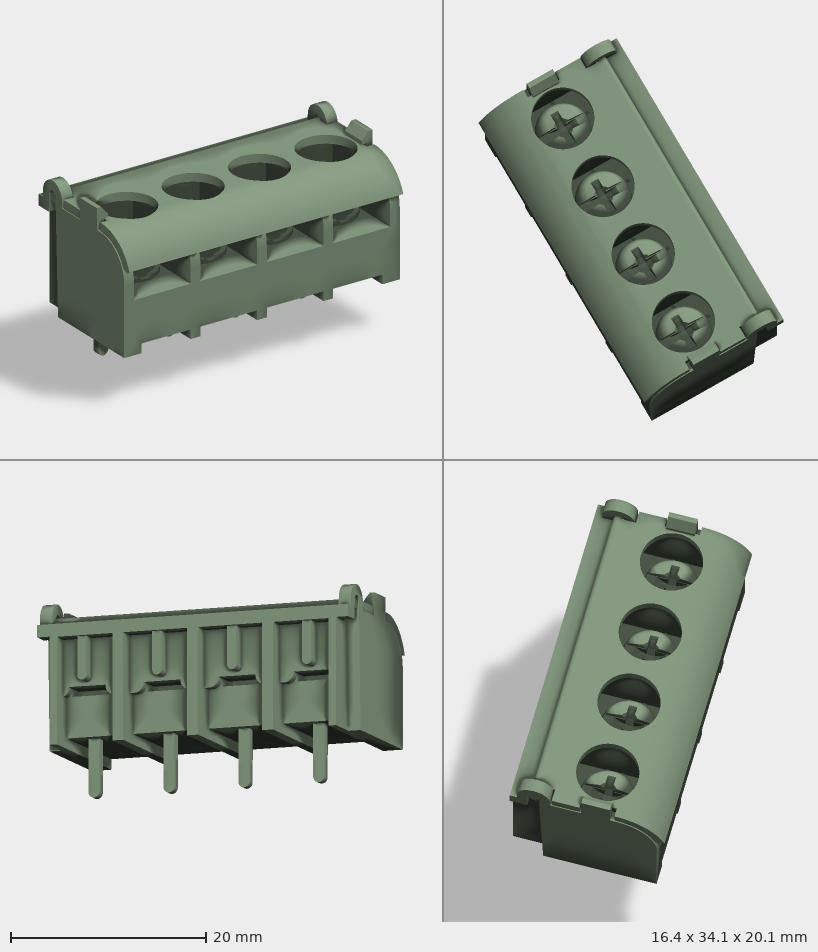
import cadquery as cq
import math


length = 34.15
bay_count = 4
pitch = 8.23
row_centers = [(i - (bay_count - 1) / 2) * pitch for i in range(bay_count)]

depth = 15.6
height = 12.57
divider_thickness = 1.2
end_wall = 1.15
end_face_setback = 1.33
front_end_wall = 0.82
front_limit = length / 2 - end_face_setback - front_end_wall
back_radius = 4.35
back_arc_x = depth - back_radius
corner_top_x = 3.1
corner_foot_x = 3.55
deck_thickness = 1.35
deck_bottom = height - deck_thickness
upper_wall_x = 1.95
lower_wall_x = 2.9
upper_wall_bottom = 5.2
bay_bottom = 1.1
chamber_x = 5.12
chamber_floor = 6.25

rib_front_x = 0.48
rib_width = 1.02
rib_bottom = 6.65
slot_width = 4.03
slot_height = 0.85
notch_radius = 1.02
bend_width = 2.6

pin_x = 3.93
pin_thickness = 0.92
pin_width = 1.23
pin_length = 5.05
pocket_back_x = pin_x + pin_thickness

hinge_x = 2.53
loop_z = 13.3
loop_radius = 1.75
loop_bore_radius = 0.6
rod_radius = 0.5
foot_width = 1.85
foot_height = 1.3
foot_bottom = height - foot_height
rod_end_gap = 0.17

cover_thickness = 1.0
cover_top = height + cover_thickness
cover_length = 33.95
lip_inner_radius = 4.5
lip_outer_radius = lip_inner_radius + cover_thickness
lip_center_z = height - lip_inner_radius
lip_bottom = 9.97
lip_mid_angle = math.radians(30)
hole_diameter = 6.5
hole_x = 9.12
loop_notch_x = 4.45
loop_clearance = 0.07

hook_x = 7.6
hook_width = 3.07
hook_depth = end_face_setback
hook_top = loop_z + loop_radius
hook_land = 0.55
hook_nose_bottom = 13.65
hook_nose_top = 14.07
hook_stem = 0.85
hook_notch_x = 7.38
hook_notch_width = 3.72
hook_notch_depth = 1.02

screw_x = 9.05
washer_diameter = 6.9
washer_thickness = 0.55
groove_top_width = 1.55
groove_floor_width = 0.82
groove_depth = 0.27
head_diameter = 5.8
head_rim = 0.4
head_shoulder_diameter = 4.37
head_shoulder = 1.7
head_height = 2.45
driver_slot_width = 1.02
driver_slot_floor = 1.3
recess_arm_width = 0.9
recess_top_half_length = 2.25
recess_slot_half_length = 1.67
recess_floor_half_length = 1.02
recess_arm_floor = 0.58
recess_center_floor = 0.2
recess_center_diameter = 0.82
recess_center_top_diameter = 2.2

overlap = 0.05


def box(x0, x1, y0, y1, z0, z1):
    return cq.Workplane("XY").box(x1 - x0, y1 - y0, z1 - z0, centered=False).translate((x0, y0, z0))


def extrude_y(outline, y0, y1):
    """Extrude an XZ outline from y0 to y1."""
    return outline.extrude(y0 - y1).translate((0, y0, 0))


def extrude_x(outline, x0, x1):
    """Extrude a YZ outline from x0 to x1."""
    return outline.extrude(x1 - x0).translate((x0, 0, 0))


def both_ends(solid):
    return solid.union(solid.mirror("XZ"))


def make_housing_block():
    diagonal = back_radius * math.sqrt(0.5)
    arc_z = height - back_radius
    profile = (
        cq.Workplane("XZ")
        .lineTo(depth, 0)
        .lineTo(depth, arc_z)
        .threePointArc((back_arc_x + diagonal, arc_z + diagonal), (back_arc_x, height))
        .lineTo(0, height)
        .close()
    )
    return extrude_y(profile, -length / 2, length / 2)


def make_corner_step():
    """Step removed from the -Y front corner, behind the leaning side wall edge."""
    profile = (
        cq.Workplane("XZ")
        .polyline([(0, 0), (corner_foot_x, 0), (corner_top_x, height), (0, height)])
        .close()
    )
    return extrude_y(profile, -length / 2, -length / 2 + end_face_setback)


def bay_limits(center, end_limit):
    """Y limits of a bay between its dividers, held inside +/- end_limit at the row ends."""
    half = (pitch - divider_thickness) / 2
    return max(center - half, -end_limit), min(center + half, end_limit)


def cut_bay(housing, center):
    """Open a bay at the front and foot, and its screw chamber at the back and top."""
    y0, y1 = bay_limits(center, front_limit)
    back_y0, back_y1 = bay_limits(center, length / 2 - end_wall)
    housing = housing.cut(box(0, upper_wall_x, y0, y1, 0, deck_bottom))
    housing = housing.cut(box(0, lower_wall_x, y0, y1, 0, upper_wall_bottom))
    housing = housing.cut(box(0, depth, y0, y1, 0, bay_bottom))
    housing = housing.cut(box(chamber_x, depth, back_y0, back_y1, chamber_floor, height))
    return housing


def cut_terminal_slot(housing, center):
    y0 = center - slot_width / 2
    y1 = center + slot_width / 2
    return housing.cut(box(upper_wall_x, pocket_back_x, y0, y1, chamber_floor - slot_height, chamber_floor))


def make_rib(center):
    half = rib_width / 2
    arc_z = rib_bottom + half
    outline = (
        cq.Workplane("YZ")
        .moveTo(center - half, deck_bottom)
        .lineTo(center - half, arc_z)
        .threePointArc((center, rib_bottom), (center + half, arc_z))
        .lineTo(center + half, deck_bottom)
        .close()
    )
    return extrude_x(outline, rib_front_x, upper_wall_x)


def make_wall_notch(center):
    """Notch in the lower edge of the upper wall, its lower corners rounded over."""
    half = slot_width / 2
    outer = half + notch_radius
    turn = notch_radius * (1 - math.sqrt(0.5))
    arc_z = upper_wall_bottom + notch_radius
    outline = (
        cq.Workplane("YZ")
        .moveTo(center - outer, upper_wall_bottom)
        .threePointArc((center - half - turn, upper_wall_bottom + turn), (center - half, arc_z))
        .lineTo(center + half, arc_z)
        .threePointArc((center + half + turn, upper_wall_bottom + turn), (center + outer, upper_wall_bottom))
        .close()
    )
    notch = extrude_x(outline, upper_wall_x, lower_wall_x)
    y0, y1 = bay_limits(center, front_limit)
    return notch.intersect(box(0, depth, y0, y1, 0, height))


def make_bend(center):
    """Rounded bend of the terminal strip at the back of the slot."""
    z0 = chamber_floor - slot_height
    radius = slot_height
    diagonal = radius * math.sqrt(0.5)
    profile = (
        cq.Workplane("XZ")
        .moveTo(pocket_back_x, z0)
        .lineTo(pocket_back_x - radius, z0)
        .threePointArc((pocket_back_x - diagonal, z0 + diagonal), (pocket_back_x, chamber_floor))
        .close()
    )
    return extrude_y(profile, center - bend_width / 2, center + bend_width / 2)


def make_pin(center):
    half = pin_width / 2
    arc_z = half - pin_length
    outline = (
        cq.Workplane("YZ")
        .moveTo(center - half, bay_bottom + overlap)
        .lineTo(center - half, arc_z)
        .threePointArc((center, -pin_length), (center + half, arc_z))
        .lineTo(center + half, bay_bottom + overlap)
        .close()
    )
    return extrude_x(outline, pin_x, pin_x + pin_thickness)


def make_hinge_loop():
    """Hook-shaped loop and foot at the -Y end, around the hinge rod."""
    profile = (
        cq.Workplane("XZ")
        .moveTo(0, foot_bottom)
        .lineTo(foot_width, foot_bottom)
        .lineTo(hinge_x - loop_bore_radius, loop_z)
        .threePointArc((hinge_x, loop_z + loop_bore_radius), (hinge_x + loop_bore_radius, loop_z))
        .lineTo(corner_top_x, height - overlap)
        .lineTo(hinge_x + loop_radius, height - overlap)
        .lineTo(hinge_x + loop_radius, loop_z)
        .threePointArc((hinge_x, loop_z + loop_radius), (hinge_x - loop_radius, loop_z))
        .lineTo(hinge_x - loop_radius, height)
        .lineTo(0, height)
        .close()
    )
    return extrude_y(profile, -length / 2, -length / 2 + end_face_setback)


def make_rod():
    half = length / 2 - rod_end_gap
    rod = cq.Workplane("XZ").center(hinge_x, cover_top - rod_radius).circle(rod_radius)
    return extrude_y(rod, -half, half)


def make_cover():
    drop = lip_bottom - lip_center_z
    outer_tip_x = back_arc_x + math.sqrt(lip_outer_radius**2 - drop**2)
    inner_tip_x = back_arc_x + math.sqrt(lip_inner_radius**2 - drop**2)
    mid_sin = math.sin(lip_mid_angle)
    mid_cos = math.cos(lip_mid_angle)
    profile = (
        cq.Workplane("XZ")
        .moveTo(hinge_x, height)
        .lineTo(hinge_x, cover_top)
        .lineTo(back_arc_x, cover_top)
        .threePointArc(
            (back_arc_x + lip_outer_radius * mid_sin, lip_center_z + lip_outer_radius * mid_cos),
            (outer_tip_x, lip_bottom),
        )
        .lineTo(inner_tip_x, lip_bottom)
        .threePointArc(
            (back_arc_x + lip_inner_radius * mid_sin, lip_center_z + lip_inner_radius * mid_cos),
            (back_arc_x, height),
        )
        .close()
    )
    cover = extrude_y(profile, -cover_length / 2, cover_length / 2)

    end = -length / 2
    loop_notch_y = end + end_face_setback + loop_clearance
    loop_notch = box(0, loop_notch_x, end, loop_notch_y, height, cover_top)
    hook_notch_end = hook_notch_x + hook_notch_width
    hook_notch = box(hook_notch_x, hook_notch_end, end, end + hook_notch_depth, height, cover_top)
    cover = cover.cut(both_ends(loop_notch.union(hook_notch)))

    holes = (
        cq.Workplane("XY")
        .pushPoints([(hole_x, y) for y in row_centers])
        .circle(hole_diameter / 2)
        .extrude(cover_top)
    )
    return cover.cut(holes)


def make_hook():
    """Snap hook at the -Y end, its nose reaching inward over the cover."""
    outer = -length / 2
    outline = (
        cq.Workplane("YZ")
        .polyline(
            [
                (outer, height - overlap),
                (outer, hook_top),
                (outer + hook_land, hook_top),
                (outer + hook_depth, hook_nose_top),
                (outer + hook_depth, hook_nose_bottom),
                (outer + hook_stem, hook_nose_bottom),
                (outer + hook_stem, height - overlap),
            ]
        )
        .close()
    )
    return extrude_x(outline, hook_x, hook_x + hook_width)


def make_washer():
    washer = cq.Workplane("XY").circle(washer_diameter / 2).extrude(washer_thickness)
    groove = (
        cq.Workplane("XZ")
        .polyline(
            [
                (-groove_top_width / 2, washer_thickness),
                (groove_top_width / 2, washer_thickness),
                (groove_floor_width / 2, washer_thickness - groove_depth),
                (-groove_floor_width / 2, washer_thickness - groove_depth),
            ]
        )
        .close()
        .extrude(washer_diameter / 2, both=True)
    )
    crossing_groove = groove.rotate((0, 0, 0), (0, 0, 1), 90)
    core = cq.Workplane("XY").circle(head_diameter / 2).extrude(washer_thickness)
    return washer.cut(groove).cut(crossing_groove).union(core)


def make_cross_recess():
    """Cross recess: two crossed arms with sloping ends around a conical centre."""
    half_profile = [
        (recess_center_diameter / 2, recess_center_floor),
        (recess_floor_half_length, recess_arm_floor),
        (recess_slot_half_length, driver_slot_floor),
        (recess_top_half_length, head_height),
    ]
    mirrored = [(-x, z) for x, z in reversed(half_profile)]
    arm = (
        cq.Workplane("XZ")
        .polyline(half_profile + mirrored)
        .close()
        .extrude(recess_arm_width / 2, both=True)
    )
    crossing_arm = arm.rotate((0, 0, 0), (0, 0, 1), 90)
    center = cq.Solid.makeCone(
        recess_center_diameter / 2,
        recess_center_top_diameter / 2,
        head_height - recess_center_floor,
        cq.Vector(0, 0, recess_center_floor),
    )
    return arm.union(crossing_arm).union(cq.Workplane(obj=center))


def make_screw_head():
    head_radius = head_diameter / 2
    shoulder_radius = head_shoulder_diameter / 2
    bulge = math.sqrt(0.5)
    rise = head_shoulder - head_rim
    run = head_radius - shoulder_radius
    head = (
        cq.Workplane("XZ")
        .lineTo(head_radius, 0)
        .lineTo(head_radius, head_rim)
        .threePointArc(
            (shoulder_radius + run * bulge, head_rim + rise * bulge), (shoulder_radius, head_shoulder)
        )
        .lineTo(0, head_height)
        .close()
        .revolve(360, (0, 0, 0), (0, 1, 0))
    )
    half_slot = driver_slot_width / 2
    head = head.cut(box(-head_radius, head_radius, -half_slot, half_slot, driver_slot_floor, head_height))
    return head.cut(make_cross_recess())


housing = make_housing_block().cut(both_ends(make_corner_step()))
for y in row_centers:
    housing = cut_bay(housing, y).cut(make_wall_notch(y))
    housing = cut_terminal_slot(housing, y)
    housing = housing.union(make_rib(y)).union(make_bend(y)).union(make_pin(y))

result = housing.union(both_ends(make_hinge_loop())).union(both_ends(make_hook()))
result = result.union(make_cover()).union(make_rod())

screw = make_washer().union(make_screw_head().translate((0, 0, washer_thickness)))
for y in row_centers:
    result = result.union(screw.translate((screw_x, y, chamber_floor)))